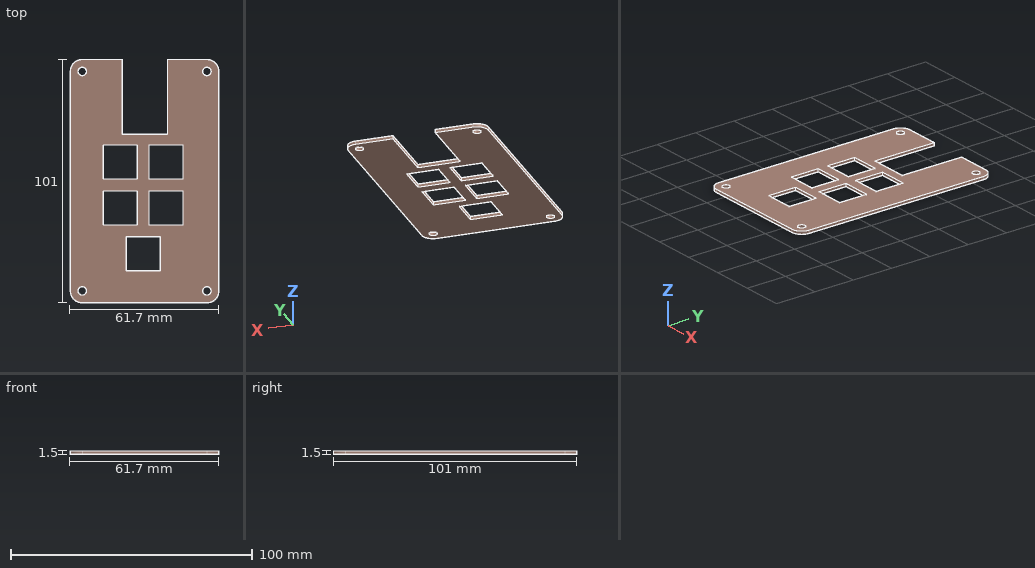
import cadquery as cq

plate_width = 61.7
plate_length = 101.02
plate_thickness = 1.5
corner_radius = 5.0

screw_hole_diameter = 3.4
screw_spacing_x = plate_width - 2 * corner_radius
screw_spacing_y = plate_length - 2 * corner_radius

notch_width = 18.6
notch_depth = 31.0
notch_center_x = 0.1

key_opening = 14.0
key_pitch = 19.05
key_center_x = -0.6
single_key_y = -30.15
key_row_count = 3


def make_plate():
    """Flat plate with rounded vertical corners."""
    return (
        cq.Workplane("XY")
        .rect(plate_width, plate_length)
        .extrude(plate_thickness)
        .edges("|Z")
        .fillet(corner_radius)
    )


def make_screw_holes():
    """Four through-hole cutters, one in each corner."""
    return (
        cq.Workplane("XY")
        .rect(screw_spacing_x, screw_spacing_y, forConstruction=True)
        .vertices()
        .circle(screw_hole_diameter / 2)
        .extrude(plate_thickness)
    )


def make_notch():
    """Cutter for the notch that runs in from the +Y edge."""
    notch_center_y = plate_length / 2 - notch_depth / 2
    return (
        cq.Workplane("XY")
        .center(notch_center_x, notch_center_y)
        .rect(notch_width, notch_depth)
        .extrude(plate_thickness)
    )


def key_centers():
    """Centres of the key openings, from the single lowest one upward."""
    centers = [(key_center_x, single_key_y)]
    for row in range(1, key_row_count):
        for side in (-1, 1):
            x = key_center_x + side * key_pitch / 2
            y = single_key_y + row * key_pitch
            centers.append((x, y))
    return centers


def make_key_openings():
    """Square through cutters for the keys."""
    return (
        cq.Workplane("XY")
        .pushPoints(key_centers())
        .rect(key_opening, key_opening)
        .extrude(plate_thickness)
    )


result = (
    make_plate()
    .cut(make_screw_holes())
    .cut(make_notch())
    .cut(make_key_openings())
)